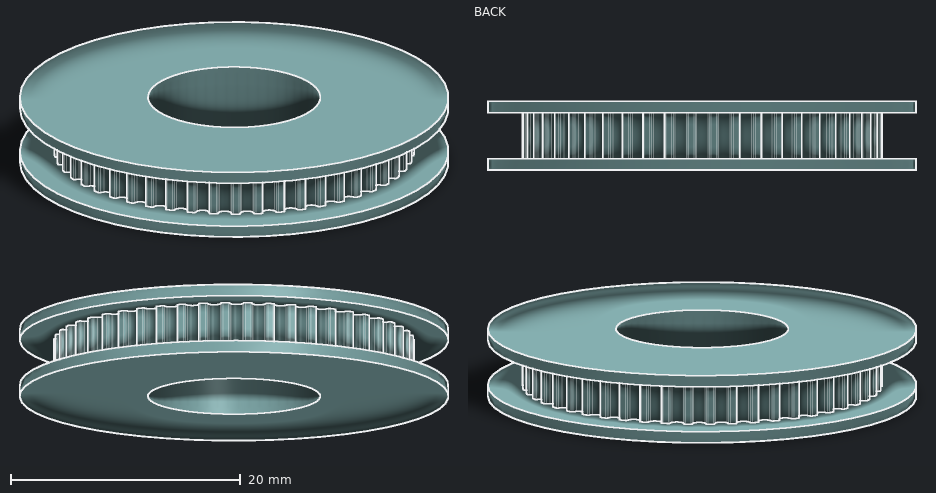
import cadquery as cq
import math

flange_diameter = 37.35
bore_diameter = 15.0
flange_thickness = 1.0
belt_width = 4.0
total_height = belt_width + 2 * flange_thickness

tooth_count = 50
rim_radius = 31.35 / 2

groove_depth = 0.75
mouth_half_width = 0.75
tip_half_width = 0.6
tip_depth = 0.13
flank_half_width = 0.505
flank_depth = 0.45
tip_round_radius = 0.15
flank_radius = 1.0
cut_clearance = 0.37


def disc(diameter, height, bottom):
    """Solid disc about the Z axis, starting at the given height."""
    return cq.Workplane("XY").workplane(offset=bottom).circle(diameter / 2).extrude(height)


def groove_cutter():
    """Cutter for the single tooth groove that opens toward -Y."""
    outside_y = -(rim_radius + cut_clearance)
    mouth_y = -math.sqrt(rim_radius**2 - mouth_half_width**2)
    tip_y = tip_depth - rim_radius
    flank_y = flank_depth - rim_radius
    root_y = groove_depth - rim_radius
    return (
        cq.Workplane("XY")
        .workplane(offset=flange_thickness)
        .moveTo(-mouth_half_width, outside_y)
        .lineTo(-mouth_half_width, mouth_y)
        .radiusArc((-tip_half_width, tip_y), -tip_round_radius)
        .radiusArc((-flank_half_width, flank_y), flank_radius)
        .threePointArc((0, root_y), (flank_half_width, flank_y))
        .radiusArc((tip_half_width, tip_y), flank_radius)
        .radiusArc((mouth_half_width, mouth_y), -tip_round_radius)
        .lineTo(mouth_half_width, outside_y)
        .close()
        .extrude(belt_width)
    )


def toothed_rim():
    """Rim with evenly spaced belt grooves, one of them centred on -Y."""
    rim = disc(2 * rim_radius, belt_width, flange_thickness)
    cutter = groove_cutter()
    for index in range(tooth_count):
        angle = index * 360 / tooth_count
        rim = rim.cut(cutter.rotate((0, 0, 0), (0, 0, 1), angle))
    return rim


lower_flange = disc(flange_diameter, flange_thickness, 0)
upper_flange = disc(flange_diameter, flange_thickness, flange_thickness + belt_width)
bore = disc(bore_diameter, total_height, 0)

result = toothed_rim().union(lower_flange).union(upper_flange).cut(bore)